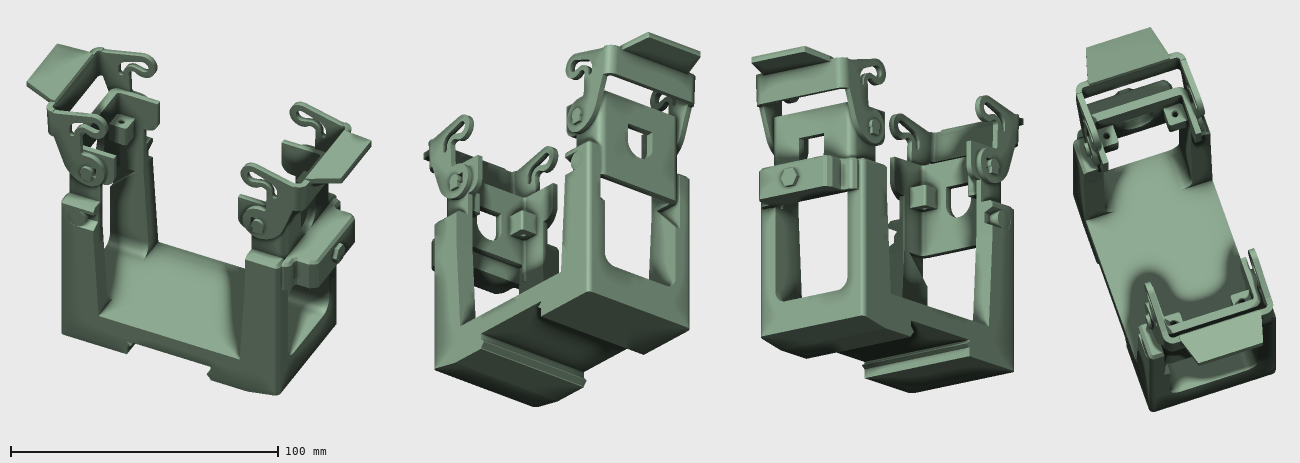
import cadquery as cq
import math

LENGTH = 132.1
WIDTH = 50.0
HEIGHT = 105.0

BASE_LENGTH = 91.4
FLOOR_TOP = 14.1
POST_TOP = 63.8
POST_INNER_X = 31.7
POST_FOOT_X = 29.5
WINDOW_WIDTH = 34.5
WINDOW_FILLET = 4.8
BASE_CORNER_FILLET = 1.8
POST_CHAMFER = 1.2
BOTTOM_SLOPE_X = 32.6
BOTTOM_SLOPE_RISE = 2.4

NOTCH_X_MIN = -17.7
NOTCH_X_MAX = 17.3
NOTCH_DEPTH = 6.3
CATCH_REACH = 1.7
LEFT_CATCH_Z = 4.6
LEFT_CATCH_HALF = 1.2
RIGHT_CATCH_Z = 2.2
RIGHT_CATCH_HALF = 1.8

DISC_X = -38.7
DISC_Z = 57.5
DISC_RADIUS = 3.7
DISC_RECESS = 0.1
GROOVE_DEPTH = 4.0
GROOVE_FLOOR_HALF = 2.0

BRIDGE_BOTTOM = 51.5
BRIDGE_END_X = 57.6
BRIDGE_CHAMFER = 1.0
BRIDGE_SHOULDER_X = 48.9
BRIDGE_SHOULDER_Y = 22.7
BRIDGE_ARM_Y = 17.3
BOLT_ACROSS_FLATS = 6.6
BOLT_HEIGHT = 1.7
BOLT_Z = 57.3

BRACKET_WIDTH = 38.8
BRACKET_BOTTOM = 51.3
RIGHT_BACK_BOTTOM = 58.1
BRACKET_TOP = 86.4
BRACKET_BACK = 3.2
BRACKET_INNER_WIDTH = WINDOW_WIDTH
BRACKET_BEND_RADIUS = 3.0
BRACKET_INNER_RADIUS = 1.2
EAR_END_X = 25.9
EAR_BOTTOM = 72.5
EAR_RADIUS = 4.5
PORT_WIDTH = 12.0
PORT_BOTTOM = 63.5
PORT_TOP = 76.2
RECESS_BOTTOM = 40.2

BLOCK_SIZE = 7.3
BLOCK_BOTTOM = 68.4
BLOCK_TOP = 76.4
BLOCK_FILLET = 0.9
SCREW_X = 39.0
SCREW_Y = 13.5
SCREW_DIAMETER = 2.1
SCREW_MOUTH_DIAMETER = 2.9
SCREW_MOUTH_ANGLE = 90

PLATE = 2.2
LEVER_WIDTH = BRACKET_WIDTH + 2 * PLATE
PIVOT_X = -35.8
PIVOT_Z = 78.6
PIVOT_RADIUS = 6.9
HOOK_X = -33.0
HOOK_RADIUS = 4.9
HOOK_Z = HEIGHT - HOOK_RADIUS
HOOK_EYE_RADIUS = 2.2
STRAP_TILT = 3.4
STRAP_HEIGHT = 11.6
STRAP_FOOT_X = -53.6
STRAP_FOOT_Z = 89.8
STRAP_END = 3.8
STRAP_OUTER_RADIUS = 3.7
STRAP_INNER_RADIUS = STRAP_OUTER_RADIUS - PLATE
HANDLE_ROOT_HALF = 16.0
HANDLE_TIP_HALF = 12.7
HANDLE_ROOT_X = -54.2
HANDLE_FILLET = 0.8

PIN_Z = 78.3
PIN_RADIUS = 2.5
PIN_HALF_FLAT = 2.0
PIN_BOTTOM = 75.0
PIN_END_Y = 23.0
KEYWAY_END_X = -32.2
KEYWAY_BOTTOM = 76.6

HALF_BASE = BASE_LENGTH / 2
HALF_WIDTH = WIDTH / 2


def box(x_min, x_max, y_min, y_max, z_min, z_max):
    """Box between opposite limits along each axis."""
    return (
        cq.Workplane("XY")
        .box(x_max - x_min, y_max - y_min, z_max - z_min, centered=False)
        .translate((x_min, y_min, z_min))
    )


def extrude_along_y(outline, y_min, y_max):
    """Closed XZ outline extruded between two Y positions."""
    return outline.extrude(y_min - y_max).translate((0, y_min, 0))


def both_sides(shape):
    """Shape joined with its mirror image across the XZ plane."""
    return shape.union(shape.mirror("XZ"))


def prism(points, width):
    """XZ polygon extruded symmetrically about the XZ plane."""
    return extrude_along_y(cq.Workplane("XZ").polyline(points).close(), -width / 2, width / 2)


def make_base():
    base = prism(
        [
            (-HALF_BASE, 0),
            (BOTTOM_SLOPE_X, 0),
            (HALF_BASE, BOTTOM_SLOPE_RISE),
            (HALF_BASE, POST_TOP),
            (-HALF_BASE, POST_TOP),
        ],
        WIDTH,
    )
    base = base.edges("|Z").fillet(BASE_CORNER_FILLET)
    base = base.faces(">Z").edges().chamfer(POST_CHAMFER)

    gap = prism(
        [
            (-POST_FOOT_X, FLOOR_TOP),
            (POST_FOOT_X, FLOOR_TOP),
            (POST_INNER_X, BRACKET_BOTTOM),
            (POST_INNER_X, HEIGHT),
            (-POST_INNER_X, HEIGHT),
            (-POST_INNER_X, BRACKET_BOTTOM),
        ],
        LENGTH,
    )
    half_window = WINDOW_WIDTH / 2
    window = box(-HALF_BASE, HALF_BASE, -half_window, half_window, FLOOR_TOP, HEIGHT)
    window = window.edges("|X and <Z").fillet(WINDOW_FILLET)
    half_seat = BRACKET_WIDTH / 2
    seat = box(-HALF_BASE, HALF_BASE, -half_seat, half_seat, BRACKET_BOTTOM, HEIGHT)

    ramp_rise = BRACKET_BOTTOM - RECESS_BOTTOM
    ramp = prism(
        [
            (-HALF_BASE, RECESS_BOTTOM),
            (-HALF_BASE + ramp_rise, BRACKET_BOTTOM),
            (-HALF_BASE, BRACKET_BOTTOM),
        ],
        BRACKET_WIDTH,
    )
    return base.cut(gap).cut(window).cut(seat).cut(ramp)


def cut_rail_notch(base):
    notch = box(NOTCH_X_MIN, NOTCH_X_MAX, -HALF_WIDTH, HALF_WIDTH, 0, NOTCH_DEPTH)
    base = base.cut(notch)
    catches = [
        (NOTCH_X_MIN, CATCH_REACH, LEFT_CATCH_Z, LEFT_CATCH_HALF),
        (NOTCH_X_MAX, -CATCH_REACH, RIGHT_CATCH_Z, RIGHT_CATCH_HALF),
    ]
    for wall_x, reach, tip_z, half_height in catches:
        catch = prism(
            [(wall_x, tip_z - half_height), (wall_x + reach, tip_z), (wall_x, tip_z + half_height)],
            WIDTH,
        )
        base = base.union(catch)
    return base


def add_pivot_discs(base):
    """Slightly sunken discs, each with a tapering groove that runs to the inner post edge."""
    groove = (
        cq.Workplane("YZ", origin=(DISC_X, 0, DISC_Z))
        .polyline(
            [
                (-HALF_WIDTH, -DISC_RADIUS),
                (-HALF_WIDTH, DISC_RADIUS),
                (-HALF_WIDTH + GROOVE_DEPTH, GROOVE_FLOOR_HALF),
                (-HALF_WIDTH + GROOVE_DEPTH, -GROOVE_FLOOR_HALF),
            ]
        )
        .close()
        .extrude(-POST_FOOT_X - DISC_X)
    )
    outline = cq.Workplane("XZ").center(DISC_X, DISC_Z).circle(DISC_RADIUS)
    disc = extrude_along_y(outline, -HALF_WIDTH, -HALF_WIDTH + GROOVE_DEPTH)
    recess = box(-HALF_BASE, HALF_BASE, -HALF_WIDTH, -HALF_WIDTH + DISC_RECESS, 0, HEIGHT).intersect(disc)
    return base.cut(both_sides(groove)).union(both_sides(disc)).cut(both_sides(recess))


def make_bridge():
    half_plan = [
        (HALF_BASE, BRIDGE_SHOULDER_Y),
        (BRIDGE_SHOULDER_X - 2.1, BRIDGE_SHOULDER_Y),
        (BRIDGE_SHOULDER_X - 0.5, BRIDGE_SHOULDER_Y - 0.9),
        (BRIDGE_SHOULDER_X, BRIDGE_SHOULDER_Y - 2.0),
        (BRIDGE_SHOULDER_X, BRIDGE_ARM_Y + 0.8),
        (BRIDGE_SHOULDER_X + 0.8, BRIDGE_ARM_Y),
        (BRIDGE_END_X - 2.9, BRIDGE_ARM_Y),
        (BRIDGE_END_X - 0.9, BRIDGE_ARM_Y - 1.0),
        (BRIDGE_END_X, BRIDGE_ARM_Y - 2.2),
    ]
    other_half = [(x, -y) for x, y in reversed(half_plan)]
    bridge = (
        cq.Workplane("XY", origin=(0, 0, BRIDGE_BOTTOM))
        .polyline(half_plan + other_half)
        .close()
        .extrude(POST_TOP - BRIDGE_BOTTOM)
    )
    bridge = bridge.faces(">Z").edges("not <X").chamfer(BRIDGE_CHAMFER)
    root_x = HALF_BASE - BASE_CORNER_FILLET
    root = box(
        root_x, HALF_BASE, BRACKET_WIDTH / 2, BRIDGE_SHOULDER_Y, BRIDGE_BOTTOM, POST_TOP - POST_CHAMFER
    )
    bolt_head = (
        cq.Workplane("YZ", origin=(BRIDGE_END_X, 0, BOLT_Z))
        .polygon(6, BOLT_ACROSS_FLATS / math.cos(math.pi / 6))
        .extrude(BOLT_HEIGHT)
    )
    return bridge.union(both_sides(root)).union(bolt_head)


def make_bracket():
    """Bracket at the left end, with its back on the outer side."""
    half_outer = BRACKET_WIDTH / 2
    half_inner = BRACKET_INNER_WIDTH / 2
    inner_x = -HALF_BASE + BRACKET_BACK
    outer = box(-HALF_BASE, -EAR_END_X, -half_outer, half_outer, BRACKET_BOTTOM, BRACKET_TOP)
    outer = outer.edges("|Z and <X").fillet(BRACKET_BEND_RADIUS)
    inner = box(inner_x, -EAR_END_X, -half_inner, half_inner, BRACKET_BOTTOM, BRACKET_TOP)
    inner = inner.edges("|Z and <X").fillet(BRACKET_INNER_RADIUS)

    leg = box(-HALF_BASE, -POST_INNER_X, -half_outer, half_outer, BRACKET_BOTTOM, BRACKET_TOP)
    ear = box(-HALF_BASE, -EAR_END_X, -half_outer, half_outer, EAR_BOTTOM, BRACKET_TOP)
    ear = ear.edges("|Y and >X and <Z").fillet(EAR_RADIUS)
    bracket = outer.cut(inner).intersect(leg.union(ear))

    port_radius = PORT_WIDTH / 2
    port = (
        cq.Workplane("YZ", origin=(-HALF_BASE, 0, 0))
        .moveTo(-port_radius, PORT_TOP)
        .lineTo(-port_radius, PORT_BOTTOM + port_radius)
        .threePointArc((0, PORT_BOTTOM), (port_radius, PORT_BOTTOM + port_radius))
        .lineTo(port_radius, PORT_TOP)
        .close()
        .extrude(BRACKET_BACK)
    )
    bracket = bracket.cut(port)

    block = box(
        inner_x, inner_x + BLOCK_SIZE, half_inner - BLOCK_SIZE, half_inner, BLOCK_BOTTOM, BLOCK_TOP
    )
    block = block.edges("|Z and >X and <Y").fillet(BLOCK_FILLET)
    block = (
        block.faces(">Z")
        .workplane(origin=(-SCREW_X, SCREW_Y, BLOCK_TOP))
        .cskHole(SCREW_DIAMETER, SCREW_MOUTH_DIAMETER, SCREW_MOUTH_ANGLE)
    )
    return bracket.union(both_sides(block))


def shorten_back(bracket):
    """Raises the lower edge of the back of the right bracket between its legs."""
    opening = box(
        HALF_BASE - BRACKET_BACK,
        HALF_BASE,
        -BRACKET_INNER_WIDTH / 2,
        BRACKET_INNER_WIDTH / 2,
        BRACKET_BOTTOM,
        RIGHT_BACK_BOTTOM,
    )
    return bracket.cut(opening)


def lever_plate_outline():
    """Side plate: pivot boss below, open throat, and a hook above."""
    top_angle = math.radians(105)
    hook_top = (HOOK_X + HOOK_RADIUS * math.cos(top_angle), HOOK_Z + HOOK_RADIUS * math.sin(top_angle))
    return (
        cq.Workplane("XZ")
        .moveTo(-49.9, 90.1)
        .lineTo(-45.8, 79.1)
        .threePointArc((-42.3, 74.2), (PIVOT_X, PIVOT_Z - PIVOT_RADIUS))
        .threePointArc((PIVOT_X + PIVOT_RADIUS, PIVOT_Z), (PIVOT_X, PIVOT_Z + PIVOT_RADIUS))
        .lineTo(-37.6, 85.5)
        .threePointArc((-38.5, 85.7), (-38.7, 86.5))
        .lineTo(-39.1, 95.2)
        .threePointArc((-37.9, 96.4), (-36.2, 96.3))
        .threePointArc((HOOK_X + HOOK_RADIUS, HOOK_Z), hook_top)
        .lineTo(-48.6, 101.5)
        .lineTo(-50.7, 101.2)
        .close()
    )


def hook_slot_outline():
    """Curved slot, wide at the hook and narrow at its inner end."""
    return (
        cq.Workplane("XZ")
        .moveTo(-33.8, 102.2)
        .lineTo(-39.5, 100.3)
        .threePointArc((-42.0, 99.0), (-43.5, 96.7))
        .lineTo(-43.5, 94.2)
        .threePointArc((-42.4, 93.0), (-41.2, 94.2))
        .lineTo(-41.2, 95.5)
        .threePointArc((-39.8, 97.8), (-37.3, 98.7))
        .lineTo(-33.8, 97.9)
        .threePointArc((HOOK_X + HOOK_EYE_RADIUS, HOOK_Z), (-33.8, 102.2))
        .close()
    )


def make_strap():
    """U-shaped strap, leaning outwards at the top."""
    half = LEVER_WIDTH / 2
    outer = box(0, STRAP_END, -half, half, 0, STRAP_HEIGHT)
    outer = outer.edges("|Z and <X").fillet(STRAP_OUTER_RADIUS)
    inner = box(PLATE, STRAP_END, PLATE - half, half - PLATE, 0, STRAP_HEIGHT)
    inner = inner.edges("|Z and <X").fillet(STRAP_INNER_RADIUS)
    strap = outer.cut(inner).rotate((0, 0, 0), (0, 1, 0), -STRAP_TILT)
    return strap.translate((STRAP_FOOT_X, 0, STRAP_FOOT_Z))


def make_handle():
    """Sloping tab that tapers in width towards its tip."""
    tip_x = -LENGTH / 2
    tab = prism(
        [
            (tip_x, 102.2),
            (-65.7, 104.6),
            (-52.5, 102.2),
            (-51.8, 101.2),
            (-52.0, 99.1),
            (-54.0, 99.1),
            (-54.2, 100.4),
        ],
        LEVER_WIDTH,
    )
    plan = (
        cq.Workplane("XY")
        .polyline(
            [
                (tip_x, -HANDLE_TIP_HALF),
                (HANDLE_ROOT_X, -HANDLE_ROOT_HALF),
                (PIVOT_X, -HANDLE_ROOT_HALF),
                (PIVOT_X, HANDLE_ROOT_HALF),
                (HANDLE_ROOT_X, HANDLE_ROOT_HALF),
                (tip_x, HANDLE_TIP_HALF),
            ]
        )
        .close()
        .extrude(HEIGHT)
        .edges("|Z and <X")
        .fillet(HANDLE_FILLET)
    )
    return tab.intersect(plan)


def make_pin():
    """Keyed pivot pin on the -Y side: a round top above a flat-sided foot."""
    inner_y = -BRACKET_WIDTH / 2
    barrel = extrude_along_y(
        cq.Workplane("XZ").center(PIVOT_X, PIN_Z).circle(PIN_RADIUS), -PIN_END_Y, inner_y
    )
    foot = box(
        PIVOT_X - PIN_HALF_FLAT, PIVOT_X + PIN_HALF_FLAT, -PIN_END_Y, inner_y, PIN_BOTTOM, PIN_Z
    )
    upper = box(
        PIVOT_X - PIN_RADIUS, PIVOT_X + PIN_RADIUS, -PIN_END_Y, inner_y, PIN_Z - 0.9, HEIGHT
    )
    return barrel.intersect(upper).union(foot)


def make_lever():
    outer_y = -LEVER_WIDTH / 2
    inner_y = -BRACKET_WIDTH / 2
    plate = extrude_along_y(lever_plate_outline(), outer_y, inner_y)
    slot = extrude_along_y(hook_slot_outline(), outer_y, inner_y)
    keyway = box(PIVOT_X, KEYWAY_END_X, outer_y, inner_y, KEYWAY_BOTTOM, PIN_Z + PIN_RADIUS)
    plate = plate.cut(slot).cut(keyway).union(make_pin())
    return both_sides(plate).union(make_strap()).union(make_handle())


base = add_pivot_discs(cut_rail_notch(make_base()))
bracket = make_bracket()
lever = make_lever()
left_end = bracket.union(lever)
right_end = shorten_back(bracket.mirror("YZ")).union(lever.mirror("YZ"))
result = base.union(make_bridge()).union(left_end).union(right_end)